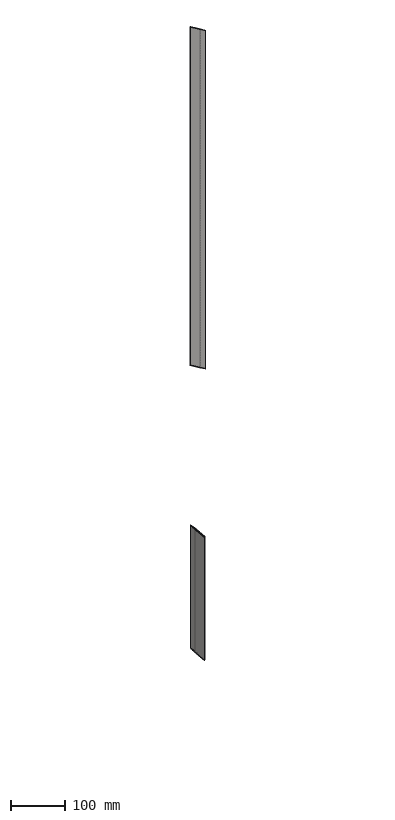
import cadquery as cq

WIDTH = 35.05
DEPTH = 2.81
LENGTH = 654.0

LEFT_FLANK_WIDTH = 23.8
RIGHT_FRONT_RISE = 1.1

LEFT_END_HEIGHT = 2.0
RIGHT_EDGE_THICKNESS = 0.3

RIDGE_FROM_RIGHT = 12.0
RIDGE_DROP = 0.5

left_x = -WIDTH / 2
right_x = WIDTH / 2
front_y = -DEPTH / 2
back_y = DEPTH / 2

crease_x = left_x + LEFT_FLANK_WIDTH
ridge_x = right_x - RIDGE_FROM_RIGHT
left_front_y = back_y - LEFT_END_HEIGHT
right_front_y = front_y + RIGHT_FRONT_RISE

left_flank_slope = (left_front_y - front_y) / LEFT_FLANK_WIDTH
left_back_x = left_x + LEFT_END_HEIGHT * left_flank_slope


def make_strip():
    """Extrude the shallow bent profile along the full length in Z."""
    outline = [
        (left_x, left_front_y),
        (crease_x, front_y),
        (right_x, right_front_y),
        (right_x, right_front_y + RIGHT_EDGE_THICKNESS),
        (ridge_x, back_y - RIDGE_DROP),
        (left_back_x, back_y),
    ]
    profile = cq.Workplane("XY", origin=(0, 0, -LENGTH / 2)).polyline(outline).close()
    return profile.extrude(LENGTH)


result = make_strip()